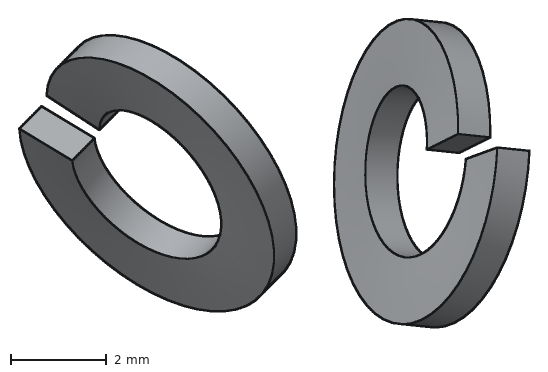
import cadquery as cq

outer_radius = 3.175
inner_radius = 1.78
thickness = 0.76
overall_height = 1.68
gap_angle = 3.6

section_width = outer_radius - inner_radius
mean_radius = (outer_radius + inner_radius) / 2
rise = overall_height - thickness
pitch = rise * 360 / (360 - gap_angle)

path = cq.Workplane(cq.Wire.makeHelix(pitch, rise, mean_radius, lefthand=True))

coil = (
    cq.Workplane("XZ")
    .center(mean_radius, 0)
    .rect(section_width, thickness)
    .sweep(path, isFrenet=True)
)

result = (
    coil.translate((0, 0, -rise / 2))
    .rotate((0, 0, 0), (0, 0, 1), 180)
    .rotate((0, 0, 0), (1, 0, 0), -90)
)